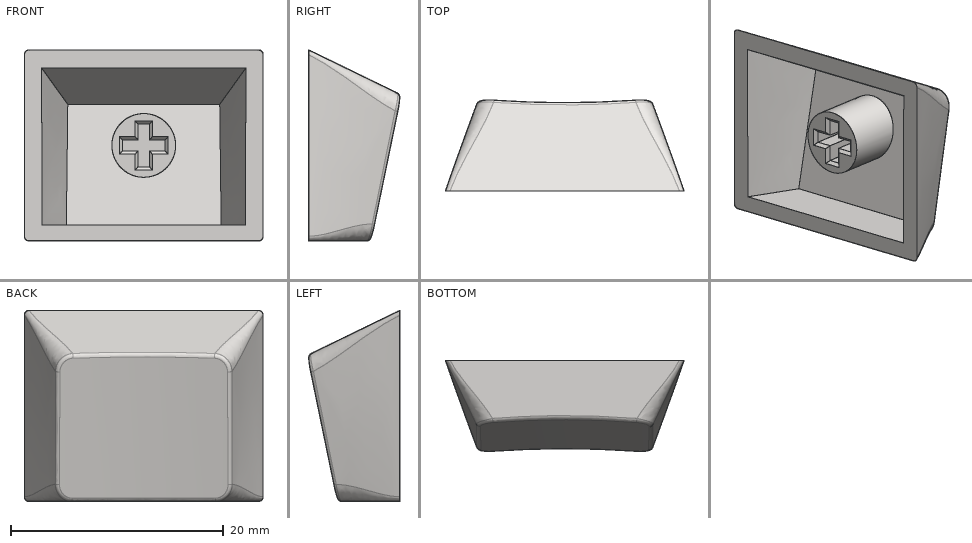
import cadquery as cq
import math

rim_width = 22.5
rim_height = 18.0
rim_corner = 0.45
rim_bottom = -rim_height / 2
rim_top = rim_height / 2
crown_width = 16.42
crown_top = 4.75
crown_corner = 1.66
crown_low_depth = 5.92
crown_high_depth = 8.75
section_count = 5
crown_edge_fillet = 0.4

dish_sag = 0.38

cavity_bottom = -7.5
cavity_top = 7.31
cavity_top_width = 19.25
cavity_bottom_width = 19.12
floor_top = 3.87
floor_top_width = 14.3
floor_bottom_width = 14.58
floor_high_depth = 7.06
crown_slope = (crown_high_depth - crown_low_depth) / (crown_top - rim_bottom)
floor_low_depth = floor_high_depth - crown_slope * (floor_top - cavity_bottom)

stem_diameter = 6.0
stem_recess = 1.0
cross_length = 4.61
cross_arm = 1.65
cross_chamfer = 0.3
cross_depth = 3.6


def blend(start, end, t):
    return start + (end - start) * t


def shell_section(t):
    """Rounded rectangle at fraction t of the way from the rim to the crown."""
    width = blend(rim_width, crown_width, t)
    top = blend(rim_top, crown_top, t)
    low_depth = crown_low_depth * t
    high_depth = crown_high_depth * t
    smooth_step = t * t * (3 - 2 * t)
    corner = blend(rim_corner, crown_corner, smooth_step)
    rise = high_depth - low_depth
    run = top - rim_bottom
    plane = cq.Plane(
        origin=(0, (low_depth + high_depth) / 2, (rim_bottom + top) / 2),
        xDir=(1, 0, 0),
        normal=(0, -run, rise),
    )
    outline = cq.Workplane(plane).rect(width, math.hypot(rise, run)).val()
    return outline.fillet2D(corner, outline.Vertices())


def make_shell():
    sections = [shell_section(i / (section_count - 1)) for i in range(section_count)]
    return cq.Workplane(cq.Solid.makeLoft(sections))


def make_dish():
    """Cylinder lying along the crown slope, meeting the crown at its two side edges."""
    half_width = crown_width / 2
    radius = (half_width**2 + dish_sag**2) / (2 * dish_sag)
    run = crown_top - rim_bottom
    rise = crown_high_depth - crown_low_depth
    slope_length = math.hypot(run, rise)
    along = cq.Vector(0, rise, run) / slope_length
    outward = cq.Vector(0, run, -rise) / slope_length
    crown_centre = cq.Vector(
        0, (crown_low_depth + crown_high_depth) / 2, (crown_top + rim_bottom) / 2
    )
    start = crown_centre + outward * (radius - dish_sag) - along * slope_length
    return cq.Workplane(cq.Solid.makeCylinder(radius, 2 * slope_length, start, along))


def trapezoid(bottom, top, bottom_width, top_width, low_depth, high_depth):
    return cq.Wire.makePolygon(
        [
            cq.Vector(-bottom_width / 2, low_depth, bottom),
            cq.Vector(bottom_width / 2, low_depth, bottom),
            cq.Vector(top_width / 2, high_depth, top),
            cq.Vector(-top_width / 2, high_depth, top),
        ],
        close=True,
    )


def make_cavity():
    mouth = trapezoid(
        cavity_bottom, cavity_top, cavity_bottom_width, cavity_top_width, 0, 0
    )
    floor = trapezoid(
        cavity_bottom, floor_top, floor_bottom_width, floor_top_width,
        floor_low_depth, floor_high_depth,
    )
    return cq.Workplane(cq.Solid.makeLoft([mouth, floor], True))


def depth_plane(depth):
    """Plane parallel to the rim whose extrusions run towards +Y."""
    return cq.Workplane(cq.Plane((0, depth, 0), (1, 0, 0), (0, 1, 0)))


def make_stem():
    stem_length = floor_high_depth - stem_recess
    stem = depth_plane(stem_recess).circle(stem_diameter / 2).extrude(stem_length)
    return stem.intersect(make_cavity())


def make_socket():
    narrow_length = cross_length - 2 * cross_chamfer
    narrow_arm = cross_arm - 2 * cross_chamfer
    base = depth_plane(stem_recess)
    socket = cq.Workplane()
    for size, narrow in (
        ((cross_length, cross_arm), (narrow_length, narrow_arm)),
        ((cross_arm, cross_length), (narrow_arm, narrow_length)),
    ):
        mouth = (
            base.rect(*size).workplane(offset=cross_chamfer).rect(*narrow).loft(ruled=True)
        )
        slot = base.rect(*narrow).extrude(cross_depth)
        socket = socket.add(mouth).add(slot)
    return socket.combine()


shell = make_shell().cut(make_dish())
crown_edges = shell.faces("%CYLINDER").edges()
shell = crown_edges.fillet(crown_edge_fillet)
result = shell.cut(make_cavity()).union(make_stem()).cut(make_socket())